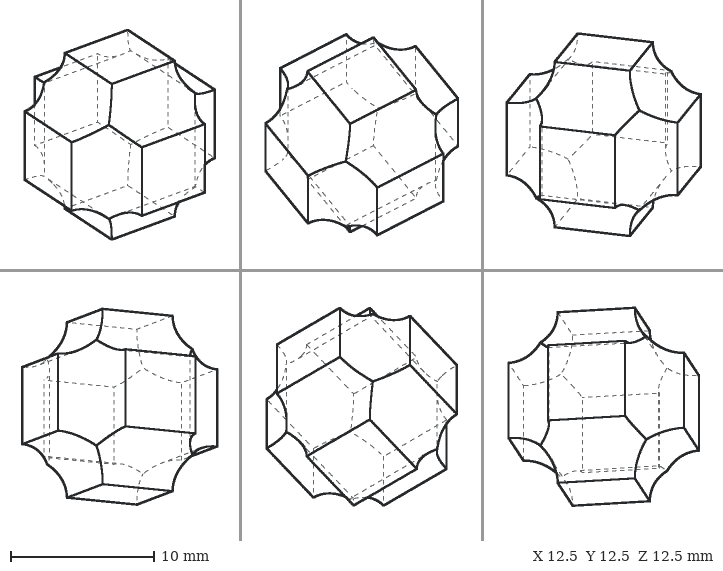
import cadquery as cq

cube_side = 12.5
groove_radius = 3.5


def edge_grooves(plane):
    """Four cylinders centred on the cube edges that run normal to the plane."""
    return (
        cq.Workplane(plane)
        .workplane(offset=-cube_side / 2)
        .rect(cube_side, cube_side, forConstruction=True)
        .vertices()
        .circle(groove_radius)
        .extrude(cube_side)
    )


result = cq.Workplane("XY").box(cube_side, cube_side, cube_side)
for plane in ("XY", "XZ", "YZ"):
    result = result.cut(edge_grooves(plane))